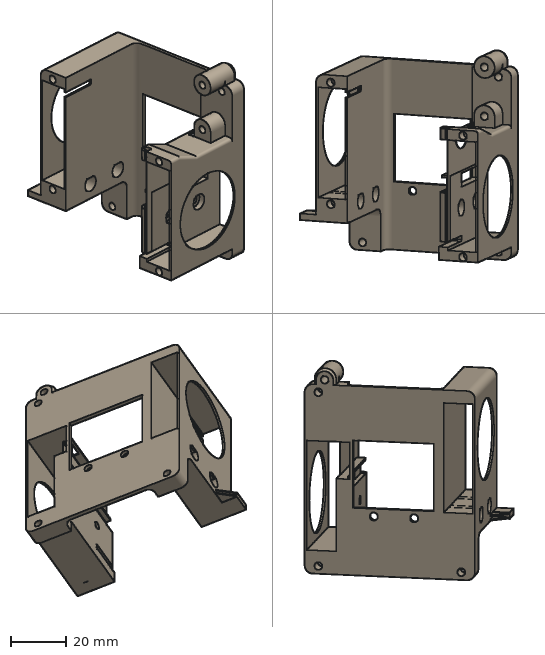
import cadquery as cq

TOTAL_HEIGHT = 76.1
DEPTH = 40.0
WIDTH = 63.0
HEIGHT = 70.25
CORNER_RADIUS = 3.05

PLATE_THICKNESS = 1.5
FLANGE_THICKNESS = 6.55
INNER_FILLET = 2.5
FLANGE_Y = DEPTH - FLANGE_THICKNESS

CHANNEL_LEFT = 12.2
CHANNEL_RIGHT = 47.8
LEFT_BLOCK_BOTTOM = 16.05
RIGHT_BLOCK_BOTTOM = 4.95
RIGHT_BLOCK_TOP = 53.35
RIGHT_BLOCK_REAR_TOP = 49.9
RAMP_FRONT_Y = 4.95
RAMP_REAR_Y = 14.2
RIGHT_EDGE_RADIUS = 1.15

OUTER_WALL = 0.8
POCKET_HEIGHT = 40.6
LEFT_POCKET_BOTTOM = 24.8
LEFT_POCKET_RIGHT = 11.5
RIGHT_POCKET_BOTTOM = 8.7
RIGHT_POCKET_LEFT = 51.3
RIGHT_POCKET_TOP = RIGHT_POCKET_BOTTOM + POCKET_HEIGHT
OPENING_DIAMETER = 30.0
OPENING_OFFSET = 23.45
COVER_SCREW_DIAMETER = 3.0
COVER_SCREW_DEPTH = 4.6
COVER_SCREW_MARGIN = 2.05
LEFT_SCREW_X = 5.8
RIGHT_SCREW_X = 57.15

MOUNT_DIAMETER = 2.8
MOUNT_MARGIN_X = 5.1
MOUNT_MARGIN_Z = 2.9
SIDE_SCREW_DIAMETER = 3.0
SIDE_ACCESS_DIAMETER = 6.0
SIDE_WEB_THICKNESS = 1.15
ACCESS_ROOF = 0.2
SIDE_SCREW_Z = 22.15
PLATE_SCREW_X = (22.5, 37.45)
SIDE_SCREW_Y = (DEPTH - 26.5, DEPTH - 11.5)

WINDOW_LEFT = 15.3
WINDOW_RIGHT = 45.1
WINDOW_BOTTOM = 25.0
WINDOW_TOP = 50.1

BOSS_DIAMETER = 8.0
BOSS_RADIUS = BOSS_DIAMETER / 2
BOSS_LENGTH = 14.45
BOSS_X = 55.55
UPPER_BOSS_Z = TOTAL_HEIGHT - BOSS_RADIUS
LOWER_BOSS_Z = 54.0
BOSS_CHAMFER_LENGTH = 1.4
BOSS_CHAMFER_INSET = 0.8

ARM_REACH = 6.2
ARM_TOP = 18.5
ARM_LENGTH = 7.15
ARM_BRACE_END = 12.1
ARM_BRACE_INSET = 0.15
ARM_BRACE_THICKNESS = 0.5

RECESS_LEFT = 46.35
RECESS_RIGHT = 51.1
RECESS_BOTTOM = 35.6
ROOF_SLOT_LEFT = 48.9
RAIL_BOTTOM = 34.8
LATCH_TOP = 29.75
LATCH_BOTTOM = 11.7
LATCH_LENGTH = 13.85
SLOT_DEPTH = 1.9
SLIT_HEIGHT = 2.0
SLIT_CHAMFER = 0.5
SLIT_MARGIN = 1.15
NOTCH_RADIUS = 6.5
NOTCH_Y = 14.0
NOTCH_Z = 50.45

HOOK_OUTER_RADIUS = 2.0
HOOK_THICKNESS = 0.8
HOOK_INNER_RADIUS = HOOK_OUTER_RADIUS - HOOK_THICKNESS
HOOK_TIP_X = 50.2
HOOK_GAP_DEPTH = 3.05
HOOK_GAP_RADIUS = 0.75


def box(x0, x1, y0, y1, z0, z1):
    """Box between two corners."""
    return cq.Workplane("XY").box(x1 - x0, y1 - y0, z1 - z0, centered=False).translate((x0, y0, z0))


def rod_y(x, z, diameter, y0, y1):
    """Cylinder along Y."""
    return cq.Workplane("XZ", origin=(x, y0, z)).circle(diameter / 2).extrude(y0 - y1)


def rod_x(y, z, diameter, x0, x1):
    """Cylinder along X."""
    return cq.Workplane("YZ", origin=(x0, y, z)).circle(diameter / 2).extrude(x1 - x0)


def frame():
    """Back plate with both full-depth side walls and the filleted channel between them."""
    body = box(0, WIDTH, 0, DEPTH, 0, HEIGHT).edges("|Y").fillet(CORNER_RADIUS)
    channel = box(CHANNEL_LEFT, CHANNEL_RIGHT, -DEPTH, DEPTH - PLATE_THICKNESS, 0, HEIGHT)
    return body.cut(channel.edges("|Z and >Y").fillet(INNER_FILLET))


def below_left_block():
    """Space under the left block, in front of its flange."""
    space = box(-WIDTH, CHANNEL_LEFT, -DEPTH, FLANGE_Y, -HEIGHT, LEFT_BLOCK_BOTTOM)
    return space.edges("|X and >Y and >Z").fillet(CORNER_RADIUS)


def right_block_envelope():
    """Right block with its stepped top and rounded outer top edge."""
    side = [
        (0, RIGHT_BLOCK_BOTTOM),
        (0, RIGHT_BLOCK_TOP),
        (RAMP_FRONT_Y, RIGHT_BLOCK_TOP),
        (RAMP_REAR_Y, RIGHT_BLOCK_REAR_TOP),
        (FLANGE_Y, RIGHT_BLOCK_REAR_TOP),
        (FLANGE_Y, RIGHT_BLOCK_BOTTOM),
    ]
    block = cq.Workplane("YZ", origin=(CHANNEL_RIGHT, 0, 0)).polyline(side).close()
    block = block.extrude(WIDTH - CHANNEL_RIGHT)
    rounded_edges = block.faces(">X").edges("not(<Z or <Y or >Y)")
    return block.newObject(rounded_edges.vals()).fillet(RIGHT_EDGE_RADIUS)


def boss_arch(z_bottom, z_axis, y0, y1):
    """Block along Y with the round top of a boss and straight sides down to z_bottom."""
    left = BOSS_X - BOSS_RADIUS
    right = BOSS_X + BOSS_RADIUS
    outline = cq.Workplane("XZ", origin=(0, y0, 0)).moveTo(left, z_bottom).lineTo(left, z_axis)
    outline = outline.threePointArc((BOSS_X, z_axis + BOSS_RADIUS), (right, z_axis))
    return outline.lineTo(right, z_bottom).close().extrude(y0 - y1)


def upper_boss():
    """Round boss on a web above the top edge, both chamfered at the back end."""
    profile = [
        (0, DEPTH - BOSS_LENGTH),
        (BOSS_RADIUS, DEPTH - BOSS_LENGTH),
        (BOSS_RADIUS, DEPTH - BOSS_CHAMFER_LENGTH),
        (BOSS_RADIUS - BOSS_CHAMFER_INSET, DEPTH),
        (0, DEPTH),
    ]
    body = cq.Workplane("XY").polyline(profile).close().revolve(360, (0, 0, 0), (0, 1, 0))
    half_outline = [(0, FLANGE_Y), (BOSS_RADIUS, FLANGE_Y)] + profile[2:]
    web = cq.Workplane("XY").polyline(half_outline).close().extrude(HEIGHT - CORNER_RADIUS - UPPER_BOSS_Z)
    web = web.union(web.mirror("YZ"))
    return body.union(web).translate((BOSS_X, 0, UPPER_BOSS_Z))


def lower_boss():
    """Boss that stands on the roof of the right block."""
    return boss_arch(RIGHT_POCKET_TOP, LOWER_BOSS_Z, DEPTH - BOSS_LENGTH, FLANGE_Y)


def side_arm():
    """Bar that sticks out of the left block, with two thin triangular braces behind it."""
    bar = box(-ARM_REACH, CHANNEL_LEFT, 0, ARM_LENGTH, LEFT_BLOCK_BOTTOM, ARM_TOP)
    brace_outline = [(-ARM_REACH, ARM_LENGTH), (0, ARM_LENGTH), (0, ARM_BRACE_END)]
    low_brace = LEFT_BLOCK_BOTTOM + ARM_BRACE_INSET
    high_brace = ARM_TOP - ARM_BRACE_INSET - ARM_BRACE_THICKNESS
    for z in (low_brace, high_brace):
        brace = cq.Workplane("XY", origin=(0, 0, z)).polyline(brace_outline).close()
        bar = bar.union(brace.extrude(ARM_BRACE_THICKNESS))
    return bar


def pockets():
    """Both pockets with their round outer openings and cover screw holes."""
    left_top = LEFT_POCKET_BOTTOM + POCKET_HEIGHT
    right_wall = WIDTH - OUTER_WALL
    left = box(OUTER_WALL, LEFT_POCKET_RIGHT, 0, DEPTH, LEFT_POCKET_BOTTOM, left_top)
    right = box(RIGHT_POCKET_LEFT, right_wall, 0, DEPTH, RIGHT_POCKET_BOTTOM, RIGHT_POCKET_TOP)
    middle = DEPTH / 2
    cut = left.union(right)
    cut = cut.union(rod_x(middle, LEFT_POCKET_BOTTOM + OPENING_OFFSET, OPENING_DIAMETER, 0, OUTER_WALL))
    cut = cut.union(rod_x(middle, RIGHT_POCKET_TOP - OPENING_OFFSET, OPENING_DIAMETER, right_wall, WIDTH))
    for x, bottom in ((LEFT_SCREW_X, LEFT_POCKET_BOTTOM), (RIGHT_SCREW_X, RIGHT_POCKET_BOTTOM)):
        for z in (bottom - COVER_SCREW_MARGIN, bottom + POCKET_HEIGHT + COVER_SCREW_MARGIN):
            cut = cut.union(rod_y(x, z, COVER_SCREW_DIAMETER, 0, COVER_SCREW_DEPTH))
    return cut


def screw_holes():
    """Corner mounting holes, back plate holes and the crosswise holes with driver access."""
    right_x = WIDTH - MOUNT_MARGIN_X
    corners = (
        (MOUNT_MARGIN_X, MOUNT_MARGIN_Z),
        (right_x, MOUNT_MARGIN_Z),
        (right_x, HEIGHT - MOUNT_MARGIN_Z),
    )
    recess_x = CHANNEL_RIGHT + SIDE_WEB_THICKNESS
    below_left_pocket = box(0, CHANNEL_LEFT, 0, DEPTH, 0, LEFT_POCKET_BOTTOM - ACCESS_ROOF)
    cut = rod_y(BOSS_X, UPPER_BOSS_Z, MOUNT_DIAMETER, 0, DEPTH)
    cut = cut.union(rod_y(BOSS_X, LOWER_BOSS_Z, MOUNT_DIAMETER, RAMP_REAR_Y, FLANGE_Y))
    for x, z in corners:
        cut = cut.union(rod_y(x, z, MOUNT_DIAMETER, FLANGE_Y, DEPTH))
    for x in PLATE_SCREW_X:
        cut = cut.union(rod_y(x, SIDE_SCREW_Z, SIDE_SCREW_DIAMETER, FLANGE_Y, DEPTH))
    for y in SIDE_SCREW_Y:
        access = rod_x(y, SIDE_SCREW_Z, SIDE_ACCESS_DIAMETER, 0, CHANNEL_LEFT)
        cut = cut.union(access.intersect(below_left_pocket))
        cut = cut.union(rod_x(y, SIDE_SCREW_Z, SIDE_SCREW_DIAMETER, CHANNEL_RIGHT, RIGHT_POCKET_LEFT))
        cut = cut.union(rod_x(y, SIDE_SCREW_Z, SIDE_ACCESS_DIAMETER, recess_x, RIGHT_POCKET_LEFT))
    return cut


def slits():
    """Short slits through both inner walls, one low on the right and one high on the left."""
    low = RIGHT_POCKET_BOTTOM + SLIT_MARGIN
    high = LEFT_POCKET_BOTTOM + POCKET_HEIGHT - SLIT_MARGIN - SLIT_HEIGHT
    right = box(CHANNEL_RIGHT, RIGHT_POCKET_LEFT, 0, LATCH_LENGTH, low, low + SLIT_HEIGHT)
    left = box(LEFT_POCKET_RIGHT, CHANNEL_LEFT, 0, LATCH_LENGTH, high, high + SLIT_HEIGHT)
    lower_end = "|X and >Y and <Z"
    return right.edges(lower_end).chamfer(SLIT_CHAMFER).union(left.edges(lower_end).chamfer(SLIT_CHAMFER))


def wall_openings():
    """Recess, cable slots and notch in the inner wall of the right block."""
    recess = box(RECESS_LEFT, RECESS_RIGHT, 0, DEPTH, RECESS_BOTTOM, RIGHT_POCKET_TOP)
    roof_slot = box(
        ROOF_SLOT_LEFT, RECESS_RIGHT, DEPTH - BOSS_LENGTH, FLANGE_Y, RECESS_BOTTOM, RIGHT_BLOCK_REAR_TOP
    )
    shallow_right = CHANNEL_RIGHT + SLOT_DEPTH
    shallow = box(CHANNEL_RIGHT, shallow_right, 0, LATCH_LENGTH, LATCH_TOP, RAIL_BOTTOM)
    through = box(CHANNEL_RIGHT, RIGHT_POCKET_LEFT, LATCH_LENGTH, FLANGE_Y, LATCH_TOP, RAIL_BOTTOM)
    notch = rod_x(NOTCH_Y, NOTCH_Z, 2 * NOTCH_RADIUS, RECESS_RIGHT, RIGHT_POCKET_LEFT)
    notch = notch.intersect(box(0, WIDTH, 0, DEPTH, 0, RIGHT_POCKET_TOP))
    back_opening = box(
        RECESS_LEFT, RIGHT_POCKET_LEFT, FLANGE_Y, DEPTH, RECESS_BOTTOM, RIGHT_POCKET_TOP
    )
    recess = recess.union(back_opening)
    return recess.union(roof_slot).union(shallow).union(through).union(notch)


def hook_gap():
    """Space cleared at the front edge of the inner wall, over its whole height."""
    bottom = RIGHT_POCKET_BOTTOM + SLIT_MARGIN
    return box(CHANNEL_RIGHT, RECESS_RIGHT, 0, HOOK_GAP_DEPTH, bottom, RIGHT_BLOCK_TOP)


def hook(z0, z1, rounded_gap):
    """Thin curled front edge of the inner wall, with a square or rounded gap behind it."""
    block = box(CHANNEL_RIGHT, RECESS_RIGHT, 0, HOOK_GAP_DEPTH, z0, z1)
    block = block.edges("|Z and <X and <Y").fillet(HOOK_OUTER_RADIUS)
    inner_x = CHANNEL_RIGHT + HOOK_THICKNESS
    space = box(inner_x, RECESS_RIGHT, HOOK_THICKNESS, HOOK_GAP_DEPTH, z0, z1)
    space = space.edges("|Z and <X and <Y").fillet(HOOK_INNER_RADIUS)
    if rounded_gap:
        space = space.edges("|Z and >Y").fillet(HOOK_GAP_RADIUS)
    mouth = box(HOOK_TIP_X, RECESS_RIGHT, 0, 2 * HOOK_THICKNESS, z0, z1)
    return block.cut(space).cut(mouth)


left_and_back = frame().cut(below_left_block())
left_and_back = left_and_back.cut(box(CHANNEL_RIGHT, WIDTH, 0, FLANGE_Y, 0, HEIGHT))
bracket = left_and_back.union(right_block_envelope()).union(side_arm())
bracket = bracket.union(upper_boss()).union(lower_boss())
bracket = bracket.cut(box(WINDOW_LEFT, WINDOW_RIGHT, FLANGE_Y, DEPTH, WINDOW_BOTTOM, WINDOW_TOP))

bracket = bracket.cut(wall_openings()).cut(slits()).cut(hook_gap())
bracket = bracket.union(hook(LATCH_BOTTOM, LATCH_TOP, rounded_gap=False))
bracket = bracket.union(hook(RIGHT_POCKET_TOP, RIGHT_BLOCK_TOP, rounded_gap=True))
result = bracket.cut(pockets()).cut(screw_holes())